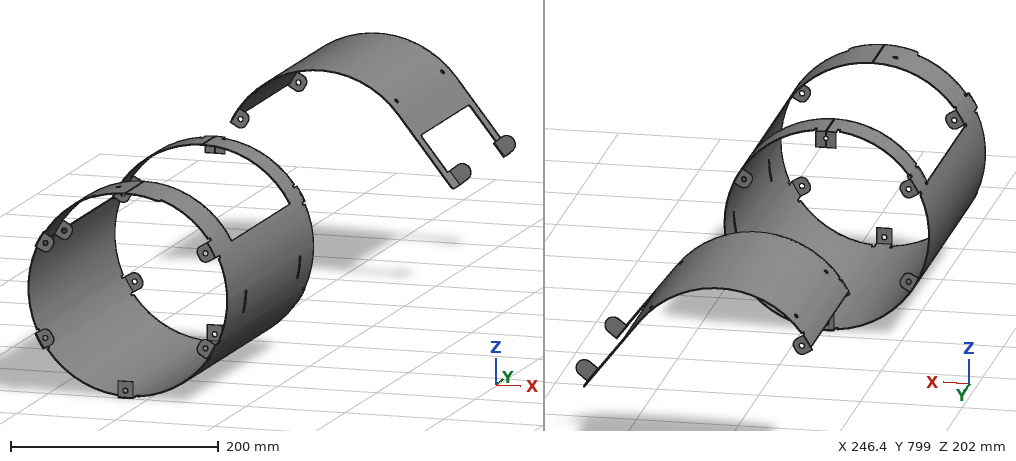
import cadquery as cq
import math

OUTER_RADIUS = 101.0
SHEET = 1.0
INNER_RADIUS = OUTER_RADIUS - SHEET

TAB_WIDTH = 17.0
TAB_HEIGHT = 15.0
TAB_CORNER = 6.0
TAB_HOLE = 5.0
TAB_HOLE_DEPTH = 7.6
RELIEF_WIDTH = 2.0
RELIEF_DEPTH = 5.0

TUBE_FRONT = 8.0
TUBE_BACK = 279.5
FRONT_REACH = 8.0
BACK_REACH = 3.0
SEAM_GAP = 1.0
RING_TAB_ANGLES = [30, 150, 210, 270, 330]
SQUARE_TAB_ANGLE = 270
SQUARE_TAB_WIDTH = 15.0
SQUARE_TAB_HEIGHT = 17.0
SEAM_TAB_WIDTH = 20.0
SEAM_BACK_REACH = 5.0
SEAM_TAB_HOLE = 4.2
TONGUE_WIDTH = 68.0
TONGUE_CORNER = 4.0
WINDOW_FRONT = 59.0
WINDOW_BACK = 243.5
WINDOW_RIGHT_ANGLE = 28.4
WINDOW_LEFT_ANGLE = 155
LATCH_ANGLE = 149.5
MARK_HOLE = 5.0
MARK_HOLE_X = -17.5
MARK_HOLE_Y = 33.5
SLOT_LENGTH = 22.0
SLOT_WIDTH = 5.0
SLOT_ANGLE = -7
SLOT_SPACING = 171.0

COVER_BACK = 799.0
COVER_WIDTH = 184.0
COVER_FRONT = COVER_BACK - COVER_WIDTH
COVER_LEFT_ANGLE = 152.6
FLAT_ANGLE = 38.2
FLAT_LENGTH = 89.5
FLAT_RAIL = 29.0
LEG_WIDTH = 15.0
LEG_CORNER = 3.0
LEG_TAB_CENTRE = FLAT_LENGTH - TAB_WIDTH / 2
LEG_TAB_HEIGHT = 19.0
LEG_TAB_REACH = 7.0
COVER_HOLE = 4.1
COVER_HOLE_ANGLES = [45, 135]
COVER_HOLE_INSET = 19.0


def block(x0, x1, y0, y1, z0, z1):
    """Box between two opposite corners."""
    return cq.Workplane("XY").box(x1 - x0, y1 - y0, z1 - z0, centered=False).translate((x0, y0, z0))


def turn(shape, angle):
    """Turn a shape built at the top of the cylinder to an angle measured from +X towards +Z."""
    return shape.rotate((0, 0, 0), (0, 1, 0), 90 - angle)


def sector(inner, outer, start, end, y0, y1):
    """Part of a ring between two angles, running along Y."""
    def point(radius, angle):
        return (radius * math.cos(math.radians(angle)), radius * math.sin(math.radians(angle)))

    middle = (start + end) / 2
    return (
        cq.Workplane("XZ", origin=(0, y0, 0))
        .moveTo(*point(outer, start))
        .threePointArc(point(outer, middle), point(outer, end))
        .lineTo(*point(inner, end))
        .threePointArc(point(inner, middle), point(inner, start))
        .close()
        .extrude(y0 - y1)
    )


def ring(y0, y1):
    """Full ring of sheet."""
    profile = cq.Workplane("XZ", origin=(0, y0, 0)).circle(OUTER_RADIUS).circle(INNER_RADIUS)
    return profile.extrude(y0 - y1)


def strip(width, y0, y1):
    """Narrow tongue of the rolled sheet at the top of the cylinder."""
    return ring(y0, y1).intersect(block(-width / 2, width / 2, y0, y1, 0, 2 * OUTER_RADIUS))


def plate_tab(width, height, y0, hole):
    """Square-cornered plate hanging inward from the top of the cylinder, with a hole."""
    top = OUTER_RADIUS - SHEET / 2
    plate = block(-width / 2, width / 2, y0, y0 + SHEET, OUTER_RADIUS - height, top)
    centre = (0, y0, OUTER_RADIUS - TAB_HOLE_DEPTH)
    return plate.cut(cq.Workplane("XZ", origin=centre).circle(hole / 2).extrude(-SHEET))


def round_tab(y0):
    """Tab with rounded free corners."""
    return plate_tab(TAB_WIDTH, TAB_HEIGHT, y0, TAB_HOLE).edges("|Y and <Z").fillet(TAB_CORNER)


def square_tab(y0):
    """Longer, narrower tab with sharp free corners."""
    return plate_tab(SQUARE_TAB_WIDTH, SQUARE_TAB_HEIGHT, y0, TAB_HOLE)


def reliefs(width, y0, y1):
    """Pair of notches beside the root of a tab at the top of the cylinder."""
    z0 = INNER_RADIUS - 3 * SHEET
    z1 = OUTER_RADIUS + SHEET
    right = block(width / 2, width / 2 + RELIEF_WIDTH, y0, y1, z0, z1)
    return right.union(right.mirror("YZ"))


def radial_hole(diameter, x, y):
    """Cutter for a hole through the sheet at the top of the cylinder."""
    return cq.Workplane("XY", origin=(x, y, OUTER_RADIUS / 2)).circle(diameter / 2).extrude(OUTER_RADIUS)


def add_ring_tabs(tube):
    """Tabs around both open ends of the tube."""
    front_end = TUBE_FRONT - FRONT_REACH
    back_end = TUBE_BACK + BACK_REACH
    for angle in RING_TAB_ANGLES:
        is_square = angle == SQUARE_TAB_ANGLE
        make_tab = square_tab if is_square else round_tab
        width = SQUARE_TAB_WIDTH if is_square else TAB_WIDTH
        tube = tube.cut(turn(reliefs(width, TUBE_FRONT, TUBE_FRONT + RELIEF_DEPTH), angle))
        tube = tube.cut(turn(reliefs(width, TUBE_BACK - RELIEF_DEPTH, TUBE_BACK), angle))
        front = strip(width, front_end, TUBE_FRONT).union(make_tab(front_end))
        back = strip(width, TUBE_BACK, back_end).union(make_tab(back_end - SHEET))
        tube = tube.union(turn(front, angle)).union(turn(back, angle))
    return tube


def add_seam_ends(tube):
    """Wide tongue in front of the seam and the split tab behind it."""
    front_end = TUBE_FRONT - FRONT_REACH
    half_width = TONGUE_WIDTH / 2
    outline = block(-half_width, half_width, front_end, TUBE_FRONT, 0, 2 * OUTER_RADIUS)
    tongue = ring(front_end, TUBE_FRONT).intersect(outline.edges("|Z and <Y").fillet(TONGUE_CORNER))
    back_end = TUBE_BACK + SEAM_BACK_REACH
    tube = tube.cut(reliefs(SEAM_TAB_WIDTH, TUBE_BACK - RELIEF_DEPTH, TUBE_BACK))
    back = strip(SEAM_TAB_WIDTH, TUBE_BACK, back_end)
    plate = plate_tab(SEAM_TAB_WIDTH, SQUARE_TAB_HEIGHT, back_end - SHEET, SEAM_TAB_HOLE)
    back = back.union(plate)
    seam = block(-SEAM_GAP / 2, SEAM_GAP / 2, front_end, back_end, 0, 2 * OUTER_RADIUS)
    return tube.union(tongue).union(back).cut(seam)


def cut_window(tube):
    """Window through the upper wall, with a tab bent in at each end of its left side."""
    tube = tube.cut(
        sector(
            INNER_RADIUS - SHEET, OUTER_RADIUS + SHEET,
            WINDOW_RIGHT_ANGLE, WINDOW_LEFT_ANGLE, WINDOW_FRONT, WINDOW_BACK,
        )
    )
    front_reliefs = reliefs(TAB_WIDTH, WINDOW_FRONT - RELIEF_DEPTH, WINDOW_FRONT)
    back_reliefs = reliefs(TAB_WIDTH, WINDOW_BACK, WINDOW_BACK + RELIEF_DEPTH)
    tube = tube.cut(turn(front_reliefs, LATCH_ANGLE)).cut(turn(back_reliefs, LATCH_ANGLE))
    for y0 in (WINDOW_FRONT - SHEET, WINDOW_BACK):
        tube = tube.union(turn(round_tab(y0), LATCH_ANGLE))
    return tube


def cut_slots(tube):
    """Two rounded slots around the wall on the right side, one near each end of the window."""
    middle = (WINDOW_FRONT + WINDOW_BACK) / 2
    for side in (-1, 1):
        centre = (0, middle + side * SLOT_SPACING / 2, OUTER_RADIUS / 2)
        slot = cq.Workplane("XY", origin=centre).slot2D(SLOT_LENGTH, SLOT_WIDTH).extrude(OUTER_RADIUS)
        tube = tube.cut(turn(slot, SLOT_ANGLE))
    return tube


def make_tube():
    tube = ring(TUBE_FRONT, TUBE_BACK)
    tube = cut_window(tube)
    tube = add_ring_tabs(tube)
    tube = add_seam_ends(tube)
    tube = cut_slots(tube)
    return tube.cut(radial_hole(MARK_HOLE, MARK_HOLE_X, MARK_HOLE_Y))


def leg_tab(y0, y1, plate_y):
    """Bridge along Y from the inner edge of a leg, with a round-ended plate bent outward at its end."""
    round_radius = TAB_WIDTH / 2
    x0 = LEG_TAB_CENTRE - round_radius
    x1 = LEG_TAB_CENTRE + round_radius
    tip = INNER_RADIUS + LEG_TAB_HEIGHT
    plate = (
        cq.Workplane("XZ", origin=(0, plate_y, 0))
        .moveTo(x0, INNER_RADIUS)
        .lineTo(x1, INNER_RADIUS)
        .lineTo(x1, tip - round_radius)
        .threePointArc((LEG_TAB_CENTRE, tip), (x0, tip - round_radius))
        .close()
        .extrude(-SHEET)
    )
    return block(x0, x1, y0, y1, INNER_RADIUS, OUTER_RADIUS).union(plate)


def make_flat_frame():
    """Flat rail and two legs tangent to the top of the cylinder, pointing along +X."""
    frame = block(0, FLAT_LENGTH, COVER_FRONT, COVER_BACK, INNER_RADIUS, OUTER_RADIUS)
    frame = frame.edges("|Z and >X").fillet(LEG_CORNER)
    opening = block(
        FLAT_RAIL, 2 * FLAT_LENGTH,
        COVER_FRONT + LEG_WIDTH, COVER_BACK - LEG_WIDTH, INNER_RADIUS, OUTER_RADIUS,
    )
    frame = frame.cut(opening.edges("|Z and <X").fillet(LEG_CORNER))
    inset = LEG_WIDTH + LEG_TAB_REACH
    front_end = COVER_FRONT + inset
    back_end = COVER_BACK - inset
    frame = frame.union(leg_tab(COVER_FRONT + LEG_WIDTH, front_end, front_end - SHEET))
    return frame.union(leg_tab(back_end, COVER_BACK - LEG_WIDTH, back_end))


def make_cover():
    cover = sector(INNER_RADIUS, OUTER_RADIUS, FLAT_ANGLE, COVER_LEFT_ANGLE, COVER_FRONT, COVER_BACK)
    cover = cover.union(turn(make_flat_frame(), FLAT_ANGLE))
    for angle in COVER_HOLE_ANGLES:
        for y in (COVER_FRONT + COVER_HOLE_INSET, COVER_BACK - COVER_HOLE_INSET):
            cover = cover.cut(turn(radial_hole(COVER_HOLE, 0, y), angle))
    front_reliefs = reliefs(TAB_WIDTH, COVER_FRONT, COVER_FRONT + RELIEF_DEPTH)
    back_reliefs = reliefs(TAB_WIDTH, COVER_BACK - RELIEF_DEPTH, COVER_BACK)
    cover = cover.cut(turn(front_reliefs, LATCH_ANGLE)).cut(turn(back_reliefs, LATCH_ANGLE))
    for y0 in (COVER_FRONT, COVER_BACK - SHEET):
        cover = cover.union(turn(round_tab(y0), LATCH_ANGLE))
    return cover


tube = make_tube()
cover = make_cover()
result = cq.Compound.makeCompound([tube.solids().val(), cover.solids().val()])